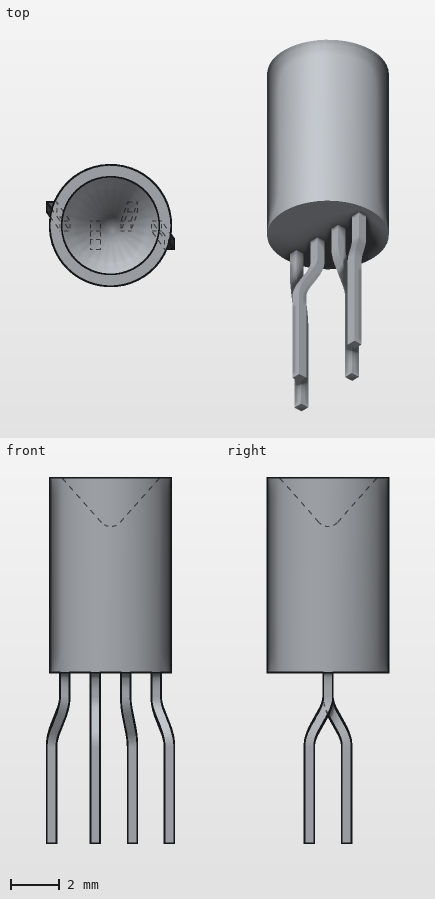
import cadquery as cq
import math

TOTAL_HEIGHT = 15.0
HOUSING_HEIGHT = 8.0
HOUSING_BASE_Z = TOTAL_HEIGHT - HOUSING_HEIGHT

HOUSING_RADIUS = 5.0 / 2
RIM_WIDTH = 0.5
FUNNEL_RADIUS = HOUSING_RADIUS - RIM_WIDTH
FUNNEL_DEPTH = 1.82
TIP_RADIUS = 0.39

PIN_WIDTH = 0.4
STUB_LENGTH = 1.0
LEG_LENGTH = 4.0
BEND_HANDLE = 0.69
BEND_TOP_Z = HOUSING_BASE_Z - STUB_LENGTH

OUTER_TOP_X = 1.88
INNER_TOP_X = OUTER_TOP_X / 3
OUTER_FOOT_X = 2.42
INNER_RIGHT_FOOT_X = 0.9
FOOT_Y = 0.76
PIN_PLACES = [
    (-OUTER_TOP_X, -OUTER_FOOT_X, FOOT_Y),
    (-INNER_TOP_X, -INNER_TOP_X, -FOOT_Y),
    (INNER_TOP_X, INNER_RIGHT_FOOT_X, FOOT_Y),
    (OUTER_TOP_X, OUTER_FOOT_X, -FOOT_Y),
]


def make_housing():
    """Cylinder whose conical recess runs tangentially into a rounded tip."""
    cone_bottom_z = TOTAL_HEIGHT - FUNNEL_DEPTH
    wall_angle = math.atan2(FUNNEL_DEPTH, FUNNEL_RADIUS - TIP_RADIUS)
    half_angle = wall_angle / 2
    sphere_radius = TIP_RADIUS / math.sin(wall_angle)
    tip_z = cone_bottom_z - TIP_RADIUS * math.tan(half_angle)
    arc_middle = (
        sphere_radius * math.sin(half_angle),
        tip_z + sphere_radius * (1 - math.cos(half_angle)),
    )
    return (
        cq.Workplane("XZ")
        .moveTo(0, HOUSING_BASE_Z)
        .lineTo(HOUSING_RADIUS, HOUSING_BASE_Z)
        .lineTo(HOUSING_RADIUS, TOTAL_HEIGHT)
        .lineTo(FUNNEL_RADIUS, TOTAL_HEIGHT)
        .lineTo(TIP_RADIUS, cone_bottom_z)
        .threePointArc(arc_middle, (0, tip_z))
        .close()
        .revolve(360, (0, 0, 0), (0, 1, 0))
    )


def make_pin(top_x, foot_x, foot_y):
    """Square wire: a stub under the housing, an S-bend, then a straight leg."""
    bend_top = cq.Vector(top_x, 0, BEND_TOP_Z)
    bend_bottom = cq.Vector(foot_x, foot_y, LEG_LENGTH)
    handle = cq.Vector(0, 0, BEND_HANDLE)
    bend_path = cq.Edge.makeBezier([bend_top, bend_top - handle, bend_bottom + handle, bend_bottom])
    bend = (
        cq.Workplane("XY", origin=bend_top.toTuple())
        .rect(PIN_WIDTH, PIN_WIDTH)
        .sweep(cq.Workplane(bend_path))
    )
    stub = cq.Workplane("XY", origin=bend_top.toTuple()).rect(PIN_WIDTH, PIN_WIDTH).extrude(STUB_LENGTH)
    leg = cq.Workplane("XY", origin=(foot_x, foot_y, 0)).rect(PIN_WIDTH, PIN_WIDTH).extrude(LEG_LENGTH)
    return stub.union(bend).union(leg)


housing = make_housing()
pins = [make_pin(*place) for place in PIN_PLACES]

result = cq.Compound.makeCompound([housing.val(), *[pin.val() for pin in pins]])